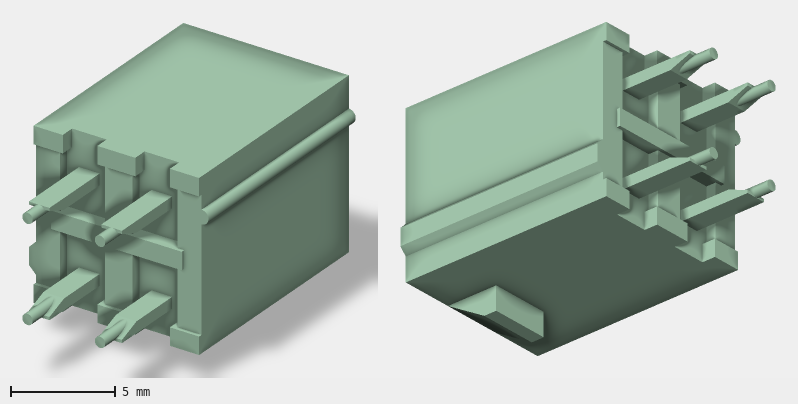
import cadquery as cq


body_side = 9.6
body_length = 12.8
half_side = body_side / 2

pad_height = 0.2
pad_band = 1.0
bar_width = 7.6
bar_thickness = 1.0

column_pitch = 4.2
columns = (-column_pitch / 2, column_pitch / 2)
channel_depth = 0.8
channel_width = 2.6
mouth_width = 2.0

pin_width = 1.2
pin_thickness = 0.64
tail_diameter = 0.6
tail_reach = 4.5
tail_length = 1.0
bevel_length = 1.25
bevel_tip_thickness = 0.17
upper_pin_face_z = 2.84
lower_pin_face_z = -3.25

key_height = 0.4
flat_key_z = -2.47
flat_key_base = 1.8
flat_key_top = flat_key_base - 2 * key_height
round_key_z = 2.6

latch_width = 3.46
latch_height = 1.4
latch_length = 3.08
latch_flat = 0.76


def block(width, height, start_y, end_y, x=0):
    """Box centred on x and on Z = 0 that spans start_y to end_y."""
    length = end_y - start_y
    return cq.Workplane("XY").box(width, length, height).translate((x, start_y + length / 2, 0))


def side_profile(points, width, x):
    """Extrude a closed (y, z) outline across X, centred on x."""
    return cq.Workplane("YZ").polyline(points).close().extrude(width / 2, both=True).translate((x, 0, 0))


def body():
    """Housing with the stepped front face and the two pin channels."""
    core = block(body_side, body_side, 0, body_length)

    core = core.cut(block(body_side, body_side - 2 * pad_band, 0, pad_height))

    for x in columns:
        core = core.cut(block(channel_width, body_side - 2 * pad_band, 0, channel_depth, x))
        core = core.cut(block(mouth_width, body_side, 0, channel_depth, x))
    return core


def cross_bar():
    """Raised bar that crosses both channels, standing on their floor."""
    return block(bar_width, bar_thickness, 0, channel_depth)


def flat_key():
    """Trapezoidal rib along the -X side."""
    side_x = -half_side
    tip_x = side_x - key_height
    outline = [
        (side_x, flat_key_z + flat_key_base / 2),
        (tip_x, flat_key_z + flat_key_top / 2),
        (tip_x, flat_key_z - flat_key_top / 2),
        (side_x, flat_key_z - flat_key_base / 2),
    ]
    rib = cq.Workplane("XZ").polyline(outline).close().extrude(-(body_length - pad_height))
    return rib.translate((0, pad_height, 0))


def round_key():
    """Half-round rib along the +X side, centred on the side face."""
    rib = cq.Workplane("XZ").center(half_side, round_key_z).circle(key_height)
    return rib.extrude(-(body_length - pad_height)).translate((0, pad_height, 0))


def latch():
    """Ramped catch under the rear of the body."""
    front_y = body_length - latch_length
    top_z = -half_side
    outline = [
        (body_length, top_z),
        (front_y, top_z),
        (front_y, top_z - latch_height),
        (front_y + latch_flat, top_z - latch_height),
    ]
    return side_profile(outline, latch_width, 0)


def pin(x, outer_z, outward):
    """Flat pin bevelled on its inner side, with a round tail flush with its outer face.

    outer_z is the height of the outer face; outward is +1 if that face looks up, -1 if down.
    """
    blade_tip_y = tail_length - tail_reach
    inner_z = outer_z - outward * pin_thickness
    tail_z = outer_z - outward * tail_diameter / 2
    outline = [
        (channel_depth, outer_z),
        (blade_tip_y, outer_z),
        (blade_tip_y, outer_z - outward * bevel_tip_thickness),
        (blade_tip_y + bevel_length, inner_z),
        (channel_depth, inner_z),
    ]
    blade = side_profile(outline, pin_width, x)
    tail = cq.Workplane("XZ").center(x, tail_z).circle(tail_diameter / 2)
    tail = tail.extrude(tail_length + bevel_length).translate((0, blade_tip_y + bevel_length, 0))
    return blade.union(tail)


result = body().union(cross_bar()).union(flat_key()).union(round_key()).union(latch())
for column_x in columns:
    result = result.union(pin(column_x, upper_pin_face_z, 1))
    result = result.union(pin(column_x, lower_pin_face_z, -1))